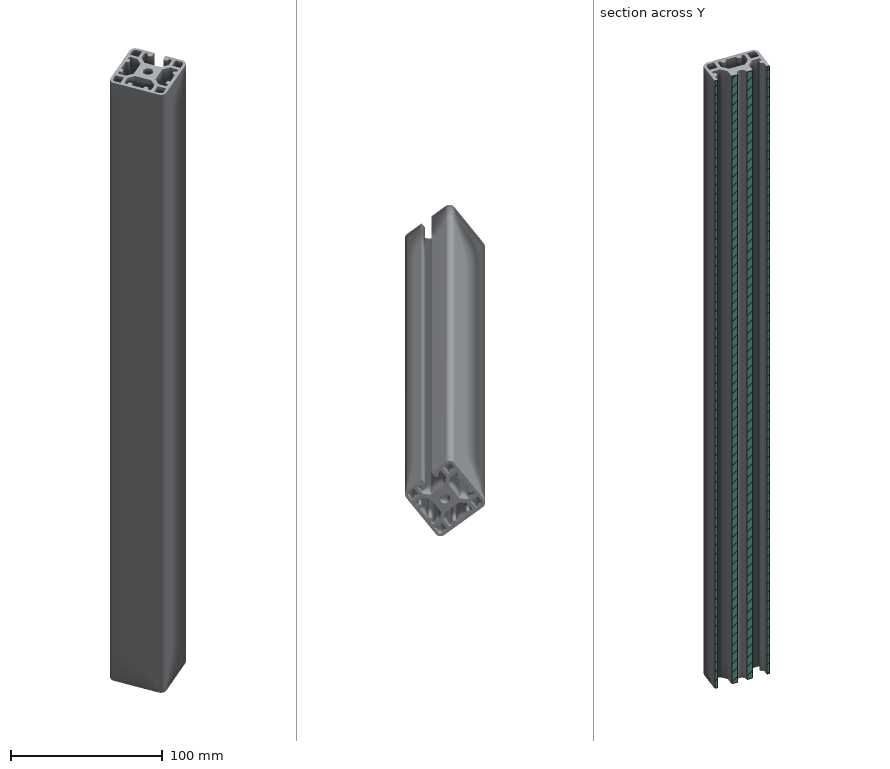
import cadquery as cq
import math

length = 500
side = 40
corner_radius = 4.0
bore_radius = 3.4

core_side = 15.5
outer_wall = 1.8
chamber_wall = 2.25
rib_thickness = 2.8

slot_opening = 8.0
undercut_width = 19.5
lip_width = 3.35
lip_depth = 4.55
lip_root_thickness = 2.35
closing_web = 2.25

chamber_inner_radius = 0.25
undercut_radius = 1.4
flank_radius = 1.25
floor_radius = 1.15
lip_heel_radius = 1.35
lip_tip_radius = 1.6

half_side = side / 2
chamber_outer = half_side - outer_wall
chamber_inner = undercut_width / 2 + chamber_wall
chamber_side = chamber_outer - chamber_inner

opening_half_width = slot_opening / 2
lip_half_width = opening_half_width + lip_width
undercut_half_width = undercut_width / 2
undercut_distance = half_side - lip_root_thickness
lip_underside = half_side - lip_depth
floor_distance = core_side / 2
rib_offset = rib_thickness / math.sqrt(2)
floor_half_width = floor_distance - rib_offset
flank_distance = undercut_half_width + rib_offset


def round_edge(body, x, y, radius):
    """Fillet the one lengthwise edge nearest to (x, y)."""
    edge = body.edges("|Z").edges(cq.selectors.NearestToPointSelector((x, y, length / 2)))
    return edge.fillet(radius)


def slot(mouth_distance):
    """T-shaped slot on the +Y side whose mouth ends at the given distance from the axis."""
    right_half = [
        (floor_half_width, floor_distance),
        (undercut_half_width, flank_distance),
        (undercut_half_width, undercut_distance),
        (lip_half_width, undercut_distance),
        (lip_half_width, lip_underside),
        (opening_half_width, lip_underside),
        (opening_half_width, mouth_distance),
    ]
    left_half = [(-x, y) for x, y in reversed(right_half)]
    body = cq.Workplane("XY").polyline(right_half + left_half).close().extrude(length)

    roundings = [
        (floor_half_width, floor_distance, floor_radius),
        (undercut_half_width, flank_distance, flank_radius),
        (undercut_half_width, undercut_distance, undercut_radius),
        (lip_half_width, lip_underside, lip_heel_radius),
        (opening_half_width, lip_underside, lip_tip_radius),
    ]
    for x, y, radius in roundings:
        body = round_edge(body, x, y, radius)
        body = round_edge(body, -x, y, radius)
    return body


def corner_chamber():
    """Chamber in the +X +Y corner, its outer corner concentric with the profile's corner."""
    middle = (chamber_inner + chamber_outer) / 2
    body = (
        cq.Workplane("XY")
        .center(middle, middle)
        .rect(chamber_side, chamber_side)
        .extrude(length)
    )
    body = round_edge(body, chamber_outer, chamber_outer, corner_radius - outer_wall)
    body = round_edge(body, chamber_inner, chamber_inner, chamber_inner_radius)
    body = round_edge(body, chamber_inner, chamber_outer, chamber_inner_radius)
    return round_edge(body, chamber_outer, chamber_inner, chamber_inner_radius)


def turned(cutter, quarter_turns):
    """The cutter turned about the profile axis."""
    return cutter.rotate((0, 0, 0), (0, 0, 1), 90 * quarter_turns)


result = cq.Workplane("XY").rect(side, side).extrude(length).edges("|Z").fillet(corner_radius)
result = result.cut(cq.Workplane("XY").circle(bore_radius).extrude(length))

result = result.cut(slot(half_side))
closed_slot = slot(half_side - closing_web)
for quarter in (1, 2, 3):
    result = result.cut(turned(closed_slot, quarter))

chamber = corner_chamber()
for quarter in range(4):
    result = result.cut(turned(chamber, quarter))